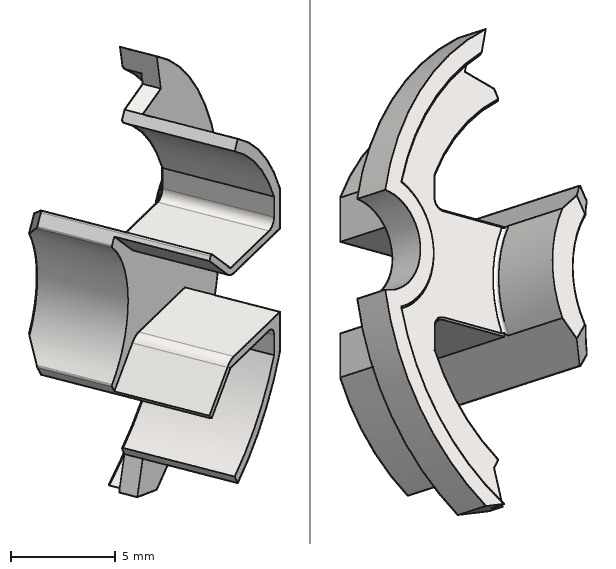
import cadquery as cq
import math

RIM_START = 3.0
WEB_START = 4.0
WEB_END = 4.98
WALL_END = 10.1

RIM_RADIUS = 14.0
RIM_INNER_RADIUS = 13.0
BITE_RADIUS = 2.52
BITE_RIM_RADIUS = 3.47
UPPER_END = [(7.2, 11.98), (7.65, 9.97)]
LOWER_END = [(7.2, 11.98), (5.18, 11.35)]

SLOT_RADIUS = 10.5
SLOT_Y = 9.54
SLOT_Z = 2.75
SLOT_FILLET = 0.5
ARC_WALL = 0.62
STRAIGHT_WALL = 0.45
TIP_WALL = 0.35
WALL_BEND_RADIUS = 1.0
ARM_ANGLE = math.radians(58.9)

NECK_Y = 4.98
TIP_OUTER = (2.97, 4.58)
TIP_INNER = (2.5, 3.83)
CRADLE_OUTER_APEX = 5.63
CRADLE_INNER_APEX = 4.22
CORNER_CUT_X = 0.95
CORNER_CUT_LENGTH = 1.44
NECK_FILLET = 0.2
EDGE_BREAK = 0.1


def polar(radius, angle):
    return (radius * math.cos(angle), radius * math.sin(angle))


def z_on_circle(radius, y):
    return math.sqrt(radius**2 - y**2)


def arc_mid(radius, start, end):
    """Point halfway along an arc centred on the X axis."""
    angle = (math.atan2(start[1], start[0]) + math.atan2(end[1], end[0])) / 2
    return polar(radius, angle)


def section(x):
    """Sketch plane across X, with local axes Y and Z."""
    return cq.Workplane("YZ", origin=(x, 0, 0))


def edge_along_x(point, middle_x):
    """Selector for the X-parallel edge through a point of the cross-section."""
    return cq.selectors.NearestToPointSelector((middle_x, *point))


def cylinder(x_start, x_end, radius, y=0):
    return section(x_start).center(y, 0).circle(radius).extrude(x_end - x_start)


ARM_INNER = polar(SLOT_RADIUS, ARM_ANGLE)
ARM_OUTER = polar(SLOT_RADIUS + ARC_WALL, ARM_ANGLE)
SLOT_CORNER = (SLOT_Y, z_on_circle(SLOT_RADIUS, SLOT_Y))
NECK = (NECK_Y, SLOT_Z)


def half_plate(end_points):
    """Upper half of the plate at full thickness, before the bite is cut."""
    rim_end = end_points[0]
    rim_foot = (RIM_RADIUS, 0)
    return (
        section(RIM_START)
        .moveTo(*rim_foot)
        .threePointArc(arc_mid(RIM_RADIUS, rim_foot, rim_end), rim_end)
        .polyline(end_points[1:] + [ARM_OUTER, ARM_INNER], includeCurrent=True)
        .threePointArc(arc_mid(SLOT_RADIUS, ARM_INNER, SLOT_CORNER), SLOT_CORNER)
        .lineTo(SLOT_Y, SLOT_Z + SLOT_FILLET)
        .radiusArc((SLOT_Y - SLOT_FILLET, SLOT_Z), SLOT_FILLET)
        .lineTo(*NECK)
        .lineTo(NECK_Y, 0)
        .close()
        .extrude(WEB_END - RIM_START)
    )


def make_plate():
    """Web with a raised rim around its outer edge and around the bite."""
    plate = half_plate(UPPER_END).union(half_plate(LOWER_END).mirror("XY"))
    recess = cylinder(RIM_START, WEB_START, RIM_INNER_RADIUS)
    recess = recess.cut(cylinder(RIM_START, WEB_START, BITE_RIM_RADIUS, RIM_RADIUS))
    flare = section(RIM_START).circle(RIM_INNER_RADIUS + EDGE_BREAK).extrude(EDGE_BREAK, taper=45)
    rim_crest = (
        section(RIM_START)
        .center(RIM_RADIUS, 0)
        .circle(BITE_RIM_RADIUS - EDGE_BREAK)
        .extrude(EDGE_BREAK, taper=-45)
    )
    bite = cylinder(RIM_START, WEB_END, BITE_RADIUS, RIM_RADIUS)
    return plate.cut(recess).cut(flare.cut(rim_crest)).cut(bite)


def make_wall():
    """Sheet wall lining the upper slot, from the arm end to the cradle tip."""
    outer_radius = SLOT_RADIUS + ARC_WALL
    back_y = SLOT_Y + ARC_WALL
    inner_z = SLOT_Z - STRAIGHT_WALL
    back_corner = (back_y, z_on_circle(outer_radius, back_y))

    slope_y = TIP_OUTER[0] - NECK_Y
    slope_z = TIP_OUTER[1] - SLOT_Z
    tip_edge_y = TIP_INNER[0] - TIP_OUTER[0]
    tip_edge_z = TIP_INNER[1] - TIP_OUTER[1]
    tip_length = math.hypot(tip_edge_y, tip_edge_z)
    tip_y = TIP_OUTER[0] + TIP_WALL * tip_edge_y / tip_length
    tip_z = TIP_OUTER[1] + TIP_WALL * tip_edge_z / tip_length
    bend_y = tip_y + (inner_z - tip_z) * slope_y / slope_z

    wall = (
        section(WEB_START)
        .moveTo(*ARM_INNER)
        .threePointArc(arc_mid(SLOT_RADIUS, ARM_INNER, SLOT_CORNER), SLOT_CORNER)
        .lineTo(SLOT_Y, SLOT_Z + SLOT_FILLET)
        .radiusArc((SLOT_Y - SLOT_FILLET, SLOT_Z), SLOT_FILLET)
        .lineTo(*NECK)
        .lineTo(*TIP_OUTER)
        .lineTo(tip_y, tip_z)
        .lineTo(bend_y, inner_z)
        .lineTo(back_y, inner_z)
        .lineTo(*back_corner)
        .threePointArc(arc_mid(outer_radius, back_corner, ARM_OUTER), ARM_OUTER)
        .close()
        .extrude(WALL_END - WEB_START)
    )
    middle_x = (WEB_START + WALL_END) / 2
    wall = wall.edges(edge_along_x((bend_y, inner_z), middle_x)).fillet(WALL_BEND_RADIUS)
    return wall.edges(edge_along_x(TIP_OUTER, middle_x)).fillet(EDGE_BREAK)


def make_corner_cut():
    """Wedge that slopes the upper free corner of the cradle."""
    along_tip = (0, TIP_OUTER[0] - TIP_INNER[0], TIP_OUTER[1] - TIP_INNER[1])
    tip_plane = cq.Plane(origin=(0, *TIP_INNER), xDir=(1, 0, 0), normal=along_tip)
    overrun = 0.25
    run = CORNER_CUT_LENGTH * (1 + overrun / CORNER_CUT_X)
    rise = overrun * CORNER_CUT_LENGTH / CORNER_CUT_X
    return (
        cq.Workplane(tip_plane)
        .polyline([
            (-overrun, run),
            (-overrun, -rise),
            (CORNER_CUT_X + overrun, -rise),
        ])
        .close()
        .extrude(CORNER_CUT_LENGTH, both=True)
    )


def make_cradle():
    """Open curved pad with two flared tips."""
    def below(point):
        return (point[0], -point[1])

    cradle = (
        section(0)
        .moveTo(*NECK)
        .lineTo(*TIP_OUTER)
        .lineTo(*TIP_INNER)
        .threePointArc((CRADLE_INNER_APEX, 0), below(TIP_INNER))
        .lineTo(*below(TIP_OUTER))
        .lineTo(*below(NECK))
        .threePointArc((CRADLE_OUTER_APEX, 0), NECK)
        .close()
        .extrude(WEB_END)
    )
    for corner in (TIP_OUTER, TIP_INNER, below(TIP_OUTER), below(TIP_INNER)):
        cradle = cradle.edges(edge_along_x(corner, WEB_END / 2)).fillet(EDGE_BREAK)
    corner_cut = make_corner_cut()
    cradle = cradle.cut(corner_cut).cut(corner_cut.mirror("XY"))
    inner_rim = cq.selectors.NearestToPointSelector((0, CRADLE_INNER_APEX, 0))
    return cradle.edges(inner_rim).chamfer(EDGE_BREAK)


def slot_rim(side):
    """Selector for the edges of one slot on the web; side is 1 above, -1 below."""
    margin = 0.02
    return cq.selectors.BoxSelector(
        (WEB_START - margin, NECK_Y + margin, side * (SLOT_Z - margin)),
        (WEB_START + margin, SLOT_Y + margin, side * (ARM_INNER[1] - margin)),
    )


wall = make_wall()
body = make_plate().union(wall).union(wall.mirror("XY"))
for side in (1, -1):
    body = body.edges(slot_rim(side)).chamfer(EDGE_BREAK)

neck_edge = cq.selectors.NearestToPointSelector((WEB_START, CRADLE_OUTER_APEX, 0))
result = body.union(make_cradle()).edges(neck_edge).fillet(NECK_FILLET)